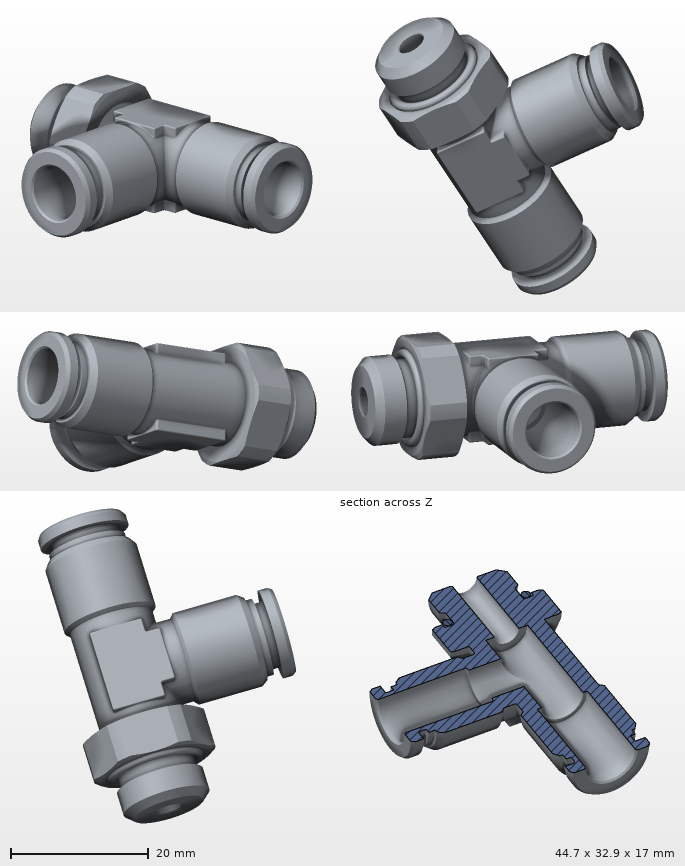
import cadquery as cq
import math


total_length = 44.7
port_reach = 23.7
tee_x = total_length - port_reach
tee_tube_radius = 6.25

thread_radius = 6.53
stud_end_radius = 5.3
stud_chamfer_length = 1.1
thread_end_x = 4.45
relief_start_x = 4.85
relief_radius = 5.75
stud_hole_radius = 2.0
stud_hole_chamfer = 0.2

hex_across_flats = 17.0
hex_turned_radius = 9.2
hex_start_x = 6.85
hex_end_x = 12.95
hex_front_chamfer = 0.3
hex_rear_chamfer = 0.2

ring_section_radius = 0.7
ring_centre_radius = relief_radius + ring_section_radius
ring_clearance = 0.15
groove_outer_radius = ring_centre_radius + ring_section_radius + ring_clearance
groove_floor_x = hex_start_x + ring_section_radius

sleeve_start = 8.25
sleeve_radius = 6.95
sleeve_rear_chamfer = 0.6
sleeve_front_start = 18.45
sleeve_front_end = 19.4
sleeve_front_radius = 6.25
step_end = 20.47
step_radius = 5.75
collet_neck_radius = 4.95
collet_flare = 0.15
collet_flare_length = 0.25
flange_start = 21.72
flange_radius = 6.65
flange_chamfer_start = port_reach - 0.6
flange_face_radius = 6.25

socket_radius = 4.1
socket_chamfer = 0.25
socket_floor = sleeve_start + sleeve_rear_chamfer
passage_radius = 3.45

pad_height = 6.53
pad_half_width = 3.95
pad_reach = 6.1
pad_edge_radius = 0.2
pad_corner_radius = 0.25
tee_root_radius = 0.22


def turned(points):
    """Solid of revolution about the X axis from (x, radius) points, closed along the axis."""
    first_x, last_x = points[0][0], points[-1][0]
    outline = [(first_x, 0), *points, (last_x, 0)]
    return cq.Workplane("XY").polyline(outline).close().revolve(360, (0, 0, 0), (1, 0, 0))


def place_ports(shape):
    """Two copies of a shape made along +X from the origin: one toward +X, one toward -Y."""
    main = shape.translate((tee_x, 0, 0))
    branch = shape.rotate((0, 0, 0), (0, 0, 1), -90).translate((tee_x, 0, 0))
    return main, branch


def make_stud():
    return turned([
        (0, stud_end_radius),
        (stud_chamfer_length, thread_radius),
        (thread_end_x, thread_radius),
        (relief_start_x, relief_radius),
        (hex_end_x, relief_radius),
    ])


def make_hexagon():
    corner_diameter = hex_across_flats / math.cos(math.pi / 6)
    prism = (
        cq.Workplane("YZ").workplane(offset=hex_start_x)
        .polygon(6, corner_diameter).extrude(hex_end_x - hex_start_x)
    )
    face_radius = hex_across_flats / 2
    turned_blank = turned([
        (hex_start_x, face_radius),
        (hex_start_x + hex_front_chamfer, hex_turned_radius),
        (hex_end_x - hex_rear_chamfer, hex_turned_radius),
        (hex_end_x, face_radius),
    ])
    groove = (
        cq.Workplane("YZ").workplane(offset=hex_start_x)
        .circle(groove_outer_radius).circle(relief_radius).extrude(groove_floor_x - hex_start_x)
    )
    return prism.intersect(turned_blank).cut(groove)


def make_port():
    return turned([
        (sleeve_start, tee_tube_radius),
        (sleeve_start + sleeve_rear_chamfer, sleeve_radius),
        (sleeve_front_start, sleeve_radius),
        (sleeve_front_end, sleeve_front_radius),
        (sleeve_front_end, step_radius),
        (step_end, step_radius),
        (step_end, collet_neck_radius),
        (flange_start - collet_flare_length, collet_neck_radius),
        (flange_start, collet_neck_radius + collet_flare),
        (flange_start, flange_radius),
        (flange_chamfer_start, flange_radius),
        (port_reach, flange_face_radius),
    ])


def make_pads():
    """T-shaped block whose top and bottom faces stand proud of the tee tubes."""
    right_half = [
        (pad_reach, pad_half_width),
        (pad_reach, -pad_half_width),
        (pad_half_width, -pad_half_width),
        (pad_half_width, -pad_reach),
    ]
    left_half = [(-x, y) for x, y in reversed(right_half)]
    return (
        cq.Workplane("XY").workplane(offset=-pad_height)
        .polyline(right_half + left_half).close().extrude(2 * pad_height)
        .edges("|Z").fillet(pad_corner_radius)
        .faces("|Z").edges().fillet(pad_edge_radius)
        .translate((tee_x, 0, 0))
    )


def make_tee():
    run_length = tee_x + sleeve_start - hex_end_x
    run = cq.Workplane("YZ").workplane(offset=hex_end_x).circle(tee_tube_radius).extrude(run_length)
    branch = cq.Workplane("XZ").center(tee_x, 0).circle(tee_tube_radius).extrude(sleeve_start)
    body = run.union(branch).union(make_pads())
    reach = tee_tube_radius + (pad_height - pad_edge_radius - tee_tube_radius) / 2
    root_zone = cq.selectors.BoxSelector(
        (tee_x - reach, -reach, -reach), (tee_x + reach, reach, reach), boundingbox=True
    )
    return body.edges(root_zone).fillet(tee_root_radius)


def make_port_bore():
    """Tube socket with a chamfered mouth, and the passage from it to the tee centre."""
    return turned([
        (0, passage_radius),
        (socket_floor, passage_radius),
        (socket_floor, socket_radius),
        (port_reach - socket_chamfer, socket_radius),
        (port_reach, socket_radius + socket_chamfer),
    ])


def make_stud_bore():
    """Narrow hole through the stud, widening to the port passage behind the hexagon."""
    return turned([
        (0, stud_hole_radius + stud_hole_chamfer),
        (stud_hole_chamfer, stud_hole_radius),
        (hex_end_x, stud_hole_radius),
        (hex_end_x, passage_radius),
        (tee_x, passage_radius),
    ])


def make_fitting():
    fitting = make_tee().union(make_stud()).union(make_hexagon())
    for port in place_ports(make_port()):
        fitting = fitting.union(port)
    for bore in (make_stud_bore(), *place_ports(make_port_bore())):
        fitting = fitting.cut(bore)
    return fitting


def make_o_ring():
    """Torus resting on the stud relief, half of it standing out of the hexagon face."""
    return (
        cq.Workplane("XY").center(hex_start_x, ring_centre_radius).circle(ring_section_radius)
        .revolve(360, (0, -ring_centre_radius, 0), (1, -ring_centre_radius, 0))
    )


fitting = make_fitting()
o_ring = make_o_ring()

result = cq.Compound.makeCompound([fitting.solids().val(), o_ring.val()])